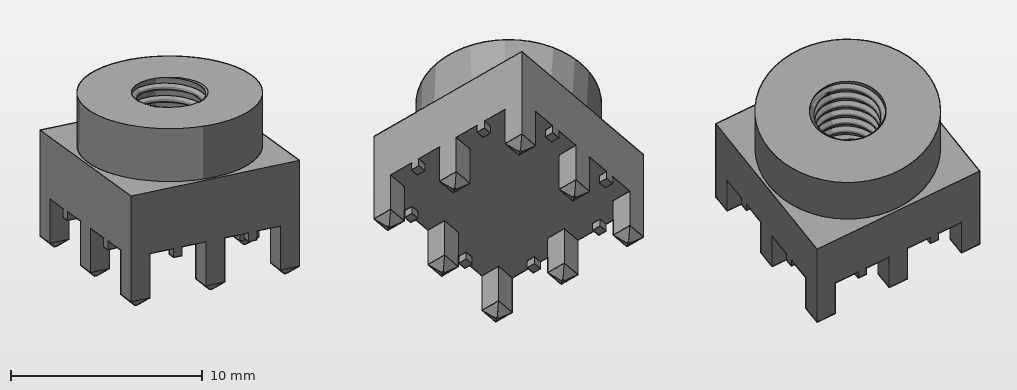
import cadquery as cq
import math

side = 10.0
tip_flat = 0.13
tip_height = 0.5
pin_size = tip_flat + 2 * tip_height
pin_length = 3.0
standoff_size = 0.5
standoff_height = 0.5
block_height = 3.5
collar_diameter = 9.7
collar_height = 3.0

thread_diameter = 4.0
crest_diameter = 3.44
thread_pitch = 0.7
thread_depth = 4.5
crest_width = 0.12
crest_rounding = 0.05
flank_angle = 30.0
rib_overlap = 0.05
trim_margin = 0.1
helix_start_depth = 5.03
drill_diameter = 3.24
drill_depth = 5.2
drill_point_angle = 118.0

block_bottom = pin_length
block_top = block_bottom + block_height
collar_top = block_top + collar_height
thread_bottom = collar_top - thread_depth
pin_spacing = (side - pin_size) / 2
standoff_edge_place = (side - standoff_size) / 2
standoff_along_side = pin_spacing / 2
thread_radius = thread_diameter / 2
crest_radius = crest_diameter / 2
drill_radius = drill_diameter / 2


def make_block_and_collar():
    block = cq.Workplane("XY").workplane(offset=block_bottom).rect(side, side).extrude(block_height)
    return block.faces(">Z").workplane().circle(collar_diameter / 2).extrude(collar_height)


def make_pins():
    """Square pins with pyramid points: one at each corner and one midway along each side."""
    steps = (-pin_spacing, 0, pin_spacing)
    places = [(x, y) for x in steps for y in steps if (x, y) != (0, 0)]
    pins = cq.Workplane("XY").pushPoints(places).rect(pin_size, pin_size).extrude(pin_length)
    return pins.faces("<Z").chamfer(tip_height)


def make_standoffs():
    """Short square feet flush with the sides, midway between neighbouring pins."""
    places = []
    for edge in (-standoff_edge_place, standoff_edge_place):
        for along in (-standoff_along_side, standoff_along_side):
            places.append((edge, along))
            places.append((along, edge))
    standoffs = cq.Workplane("XY").workplane(offset=block_bottom).pushPoints(places)
    return standoffs.rect(standoff_size, standoff_size).extrude(-standoff_height)


def make_hole():
    """Thread bore stepping down to a drilled hole with a conical end."""
    drill_end = collar_top - drill_depth
    point_height = drill_radius / math.tan(math.radians(drill_point_angle / 2))
    return (
        cq.Workplane("XZ")
        .moveTo(0, collar_top)
        .lineTo(thread_radius, collar_top)
        .lineTo(thread_radius, thread_bottom)
        .lineTo(drill_radius, thread_bottom)
        .lineTo(drill_radius, drill_end)
        .lineTo(0, drill_end - point_height)
        .close()
        .revolve(360, (0, 0, 0), (0, 1, 0))
    )


def make_thread_rib():
    """Right-hand helical rib, trimmed by the shoulder below and a 45-degree mouth chamfer above."""
    helix_bottom = collar_top - helix_start_depth
    turns = math.ceil(helix_start_depth / thread_pitch) + 1
    helix_height = turns * thread_pitch
    base_radius = thread_radius + rib_overlap
    flank_end_radius = crest_radius + crest_rounding
    flank_rise = (base_radius - flank_end_radius) * math.tan(math.radians(flank_angle))
    half_crest = crest_width / 2
    half_base = half_crest + flank_rise

    profile = (
        cq.Workplane("XZ")
        .moveTo(base_radius, -half_base)
        .lineTo(flank_end_radius, -half_crest)
        .threePointArc((crest_radius, 0), (flank_end_radius, half_crest))
        .lineTo(base_radius, half_base)
        .close()
    )
    helix = cq.Workplane(cq.Wire.makeHelix(thread_pitch, helix_height, thread_radius))
    rib = profile.sweep(helix, isFrenet=True).translate((0, 0, helix_bottom))

    inner_radius = crest_radius - trim_margin
    outer_radius = base_radius + trim_margin
    chamfer_height = thread_radius - inner_radius
    envelope = (
        cq.Workplane("XZ")
        .moveTo(inner_radius, thread_bottom)
        .lineTo(outer_radius, thread_bottom)
        .lineTo(outer_radius, collar_top)
        .lineTo(thread_radius, collar_top)
        .lineTo(inner_radius, collar_top - chamfer_height)
        .close()
        .revolve(360, (0, 0, 0), (0, 1, 0))
    )
    return rib.intersect(envelope)


body = make_block_and_collar().union(make_pins()).union(make_standoffs())
result = body.cut(make_hole()).union(make_thread_rib())